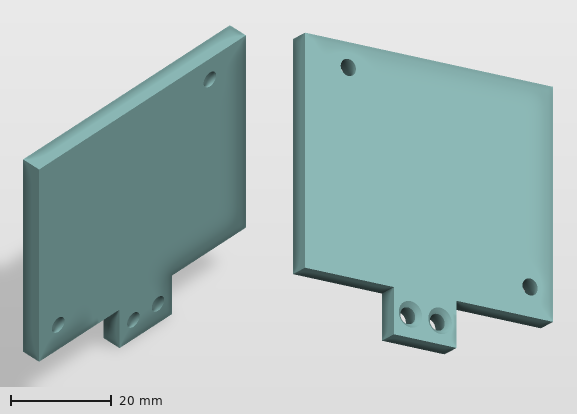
import cadquery as cq

thickness = 4.5
plate_width = 58.6
total_height = 59.7
tab_height = 9.95
plate_height = total_height - tab_height

tab_width = 14.8
tab_center_y = 0.9

mounting_hole_diameter = 3.6
mounting_holes = [(19.1, 54.3), (-23.9, 16.3)]

tab_hole_diameter = 3.5
countersink_diameter = 5.55
countersink_angle = 90.0
tab_hole_spacing = 7.0
tab_hole_z = tab_height / 2
tab_hole_center_y = tab_center_y


def block(width, height, center_y, bottom_z):
    """Full-thickness block standing on bottom_z."""
    return (
        cq.Workplane("XY")
        .box(thickness, width, height, centered=(True, True, False))
        .translate((0, center_y, bottom_z))
    )


def face_points(body, points):
    """Place (y, z) points on the -X face, whose local x axis runs along -Y."""
    face = cq.Plane(origin=(-thickness / 2, 0, 0), xDir=(0, -1, 0), normal=(-1, 0, 0))
    return body.copyWorkplane(cq.Workplane(face)).pushPoints([(-y, z) for y, z in points])


plate = block(plate_width, plate_height, 0, tab_height)
tab = block(tab_width, tab_height, tab_center_y, 0)
body = plate.union(tab)

body = face_points(body, mounting_holes).hole(mounting_hole_diameter)

tab_holes = [(tab_hole_center_y + side * tab_hole_spacing / 2, tab_hole_z) for side in (-1, 1)]
result = face_points(body, tab_holes).cskHole(
    tab_hole_diameter, countersink_diameter, countersink_angle
)